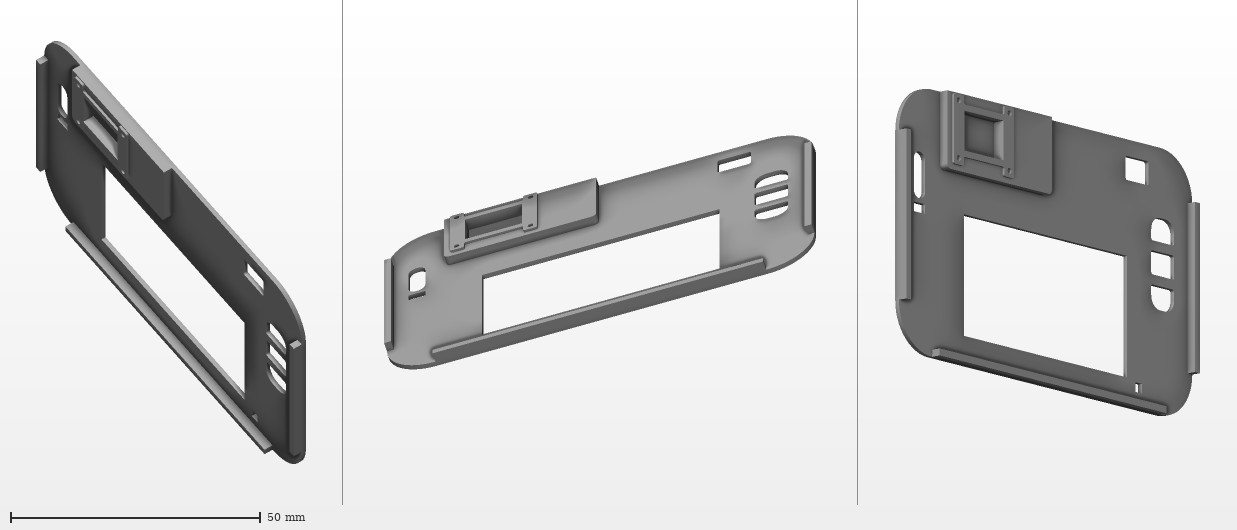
import cadquery as cq

PANEL_WIDTH = 90.0
PANEL_HEIGHT = 55.0
PANEL_THICKNESS = 1.0
CORNER_RADIUS = 10.0
SIDE = PANEL_WIDTH / 2
TOP = PANEL_HEIGHT / 2

RELIEF_DEPTH = 3.0
RAIL_WIDTH = 1.4
SIDE_RAIL_LENGTH = PANEL_HEIGHT - 2 * CORNER_RADIUS
BOTTOM_RAIL_LENGTH = 69.6
BLOCK_LEFT = -32.4
BLOCK_WIDTH = 32.0
BLOCK_HEIGHT = 16.0
BLOCK_CORNER_RADIUS = 1.0

FRAME_DEPTH = 3.5
FRAME_WIDTH = 18.4
FRAME_HEIGHT = 14.6
FRAME_X = -21.8
FRAME_Z = 19.9
FRAME_CORNER_RADIUS = 0.45
EAR_WIDTH = 3.0
NOTCH_DEPTH = 1.9
SCREW_HOLE_DIAMETER = 1.2
SCREW_SPACING_X = 15.6
SCREW_SPACING_Z = 11.9
WINDOW_WIDTH = 12.0
WINDOW_HEIGHT = 8.2

SCREEN_WIDTH = 50.0
SCREEN_HEIGHT = 25.0
SCREEN_Z = -9.0
SLOT_WIDTH = 3.5
SLOT_LENGTH = 9.6
SLOT_X = -38.7
SLOT_Z = 9.3
SENSOR_HEIGHT = 2.0
SENSOR_Z = 2.5
BUTTON_WIDTH = 7.0
BUTTON_HEIGHT = 4.95
BUTTON_X = 35.9
BUTTON_Z = 3.5
BUTTON_PITCH = 7.0
BUTTON_CORNER_RADIUS = 0.45
BUTTON_ROUND_RADIUS = 2.7
UPPER_BUTTON_X = 28.1
UPPER_BUTTON_Z = 21.6
PINHOLE_SIZE = 2.0
PINHOLE_X = 28.5
PINHOLE_Z = -23.0

INSERT_LEFT = -26.5
INSERT_WIDTH = 32.0
INSERT_HEIGHT = 16.0
INSERT_THICKNESS = 0.5


def slab(x, z, width, height, front, back=0.0):
    """Box centred on x and z, from depth `back` to depth `front` (depth grows toward -Y)."""
    size_y = front - back
    return cq.Workplane("XY").box(width, size_y, height).translate((x, -back - size_y / 2, z))


def opening(x, z, width, height):
    """Square-cornered cutter through the panel."""
    return slab(x, z, width, height, PANEL_THICKNESS)


def make_panel():
    panel = slab(0, 0, PANEL_WIDTH, PANEL_HEIGHT, PANEL_THICKNESS)
    return panel.edges("|Y").fillet(CORNER_RADIUS)


def add_rails(body):
    rail_x = SIDE - RAIL_WIDTH / 2
    for x in (-rail_x, rail_x):
        body = body.union(slab(x, 0, RAIL_WIDTH, SIDE_RAIL_LENGTH, RELIEF_DEPTH))
    bottom_z = -TOP + RAIL_WIDTH / 2
    return body.union(slab(0, bottom_z, BOTTOM_RAIL_LENGTH, RAIL_WIDTH, RELIEF_DEPTH))


def add_block(body):
    x = BLOCK_LEFT + BLOCK_WIDTH / 2
    block = slab(x, TOP - BLOCK_HEIGHT / 2, BLOCK_WIDTH, BLOCK_HEIGHT, RELIEF_DEPTH)
    return body.union(block.edges("|Y and <Z").fillet(BLOCK_CORNER_RADIUS))


def make_frame():
    """Thin H-shaped frame with a screw hole in each ear."""
    frame = slab(FRAME_X, FRAME_Z, FRAME_WIDTH, FRAME_HEIGHT, FRAME_DEPTH, RELIEF_DEPTH)
    notch_offset = (FRAME_HEIGHT - NOTCH_DEPTH) / 2
    notch_width = FRAME_WIDTH - 2 * EAR_WIDTH
    for z in (FRAME_Z - notch_offset, FRAME_Z + notch_offset):
        frame = frame.cut(slab(FRAME_X, z, notch_width, NOTCH_DEPTH, FRAME_DEPTH, RELIEF_DEPTH))
    frame = frame.edges("|Y").fillet(FRAME_CORNER_RADIUS)
    holes = (
        cq.Workplane("XZ", origin=(FRAME_X, 0, FRAME_Z))
        .rarray(SCREW_SPACING_X, SCREW_SPACING_Z, 2, 2)
        .circle(SCREW_HOLE_DIAMETER / 2)
        .extrude(FRAME_DEPTH)
    )
    return frame.cut(holes)


def make_window():
    """Cutter through the frame and block, down to the panel face."""
    return slab(FRAME_X, FRAME_Z, WINDOW_WIDTH, WINDOW_HEIGHT, FRAME_DEPTH, PANEL_THICKNESS)


def button_opening(x, z):
    cutter = opening(x, z, BUTTON_WIDTH, BUTTON_HEIGHT)
    return cutter.edges("|Y").fillet(BUTTON_CORNER_RADIUS)


def end_button_opening(z, outer_side, inner_side):
    """Button opening with large rounds on its outer side and small ones on its inner side."""
    cutter = opening(BUTTON_X, z, BUTTON_WIDTH, BUTTON_HEIGHT)
    cutter = cutter.edges("|Y and " + outer_side).fillet(BUTTON_ROUND_RADIUS)
    return cutter.edges("|Y and " + inner_side).fillet(BUTTON_CORNER_RADIUS)


def slot_opening():
    return (
        cq.Workplane("XZ", origin=(SLOT_X, 0, SLOT_Z))
        .slot2D(SLOT_LENGTH, SLOT_WIDTH, 90)
        .extrude(PANEL_THICKNESS)
    )


def cut_openings(body):
    cutters = [
        opening(0, SCREEN_Z, SCREEN_WIDTH, SCREEN_HEIGHT),
        slot_opening(),
        opening(SLOT_X, SENSOR_Z, SLOT_WIDTH, SENSOR_HEIGHT),
        opening(PINHOLE_X, PINHOLE_Z, PINHOLE_SIZE, PINHOLE_SIZE),
        button_opening(UPPER_BUTTON_X, UPPER_BUTTON_Z),
        end_button_opening(BUTTON_Z + BUTTON_PITCH, ">Z", "<Z"),
        button_opening(BUTTON_X, BUTTON_Z),
        end_button_opening(BUTTON_Z - BUTTON_PITCH, "<Z", ">Z"),
    ]
    for cutter in cutters:
        body = body.cut(cutter)
    return body


def make_insert():
    x = INSERT_LEFT + INSERT_WIDTH / 2
    return slab(x, TOP - INSERT_HEIGHT / 2, INSERT_WIDTH, INSERT_HEIGHT, INSERT_THICKNESS)


insert = make_insert()

housing = add_block(add_rails(make_panel()))
housing = housing.union(make_frame()).cut(make_window())
housing = cut_openings(housing).cut(insert)

result = cq.Compound.makeCompound([housing.val(), insert.val()])